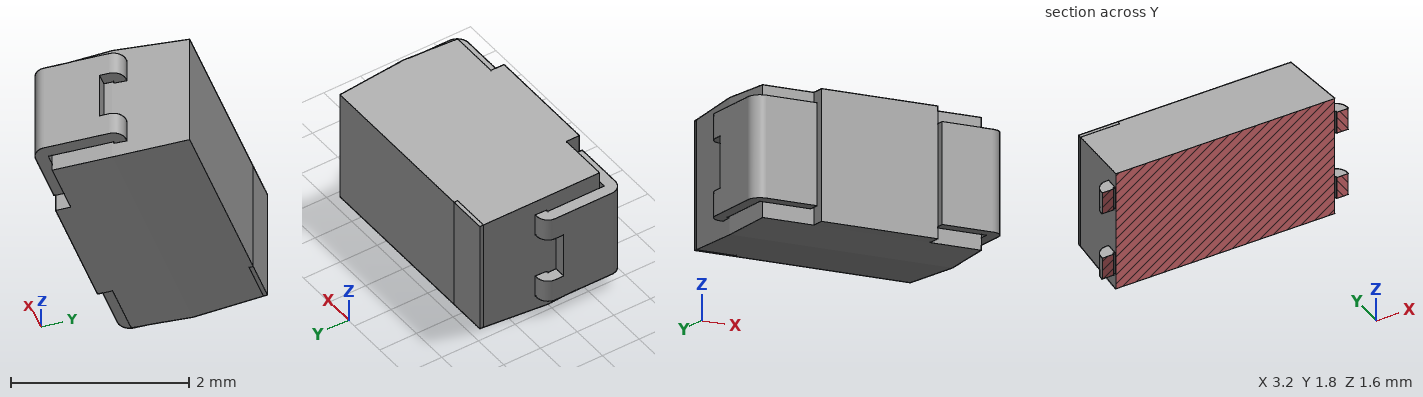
import cadquery as cq

overall_length = 3.2
overall_height = 1.8

parting_length, parting_width = 2.85, 1.6
far_length, far_width = 2.76, 1.51
near_length, near_width = 2.8, 1.55
parting_y = 0.9
standoff = 0.18
pad_length = 1.488

band_depth = 0.048
band_end_x = -0.875

strip = 0.15
lead_width = 1.2
lead_height = 1.07
foot_length = 0.8
notch_width = 0.608
notch_floor_y = 0.805


def tapered_block(y_start, start_size, y_end, end_size):
    """Block along +Y whose rectangular section changes between its ends."""
    return (
        cq.Workplane("XZ", origin=(0, y_start, 0))
        .rect(*start_size)
        .workplane(offset=y_start - y_end)
        .rect(*end_size)
        .loft(ruled=True)
    )


def make_moulding():
    """Double-tapered housing with its central mounting pad."""
    parting_size = (parting_length, parting_width)
    near_half = tapered_block(standoff, (near_length, near_width), parting_y, parting_size)
    far_half = tapered_block(parting_y, parting_size, overall_height, (far_length, far_width))
    pad = cq.Workplane("XY").box(pad_length, standoff, near_width, centered=(True, False, True))
    return near_half.union(far_half).union(pad)


def make_band_envelope():
    """Block enclosing the corner of the moulding that belongs to the band."""
    band_length = overall_length / 2 + band_end_x
    return (
        cq.Workplane("XY")
        .box(band_length, band_depth, parting_width, centered=(False, False, True))
        .translate((-overall_length / 2, overall_height - band_depth, 0))
    )


def make_lead(moulding):
    """Left lead: foot, upright and two prongs that end on the housing wall."""
    outer_x = -overall_length / 2
    inner_x = outer_x + strip
    prong_end_x = -far_length / 2
    foot_end_x = outer_x + foot_length
    lead = (
        cq.Workplane("XY", origin=(0, 0, -lead_width / 2))
        .moveTo(foot_end_x, 0)
        .lineTo(inner_x, 0)
        .radiusArc((outer_x, strip), strip)
        .lineTo(outer_x, lead_height - strip)
        .radiusArc((inner_x, lead_height), strip)
        .lineTo(prong_end_x, lead_height)
        .lineTo(prong_end_x, lead_height - strip)
        .lineTo(inner_x, lead_height - strip)
        .lineTo(inner_x, strip)
        .lineTo(foot_end_x, strip)
        .close()
        .extrude(lead_width)
    )
    notch = (
        cq.Workplane("XY")
        .box(prong_end_x - outer_x, lead_height - notch_floor_y, notch_width, centered=(False, False, True))
        .translate((outer_x, notch_floor_y, 0))
    )
    return lead.cut(notch).cut(moulding)


moulding = make_moulding()
band_envelope = make_band_envelope()
housing = moulding.cut(band_envelope)
polarity_band = moulding.intersect(band_envelope)

left_lead = make_lead(moulding)
leads = []
for turn in (0, 180):
    leads.append(left_lead.rotate((0, 0, 0), (0, 1, 0), turn))

result = cq.Compound.makeCompound(
    [
        housing.solids().val(),
        polarity_band.solids().val(),
        *[lead.solids().val() for lead in leads],
    ]
)